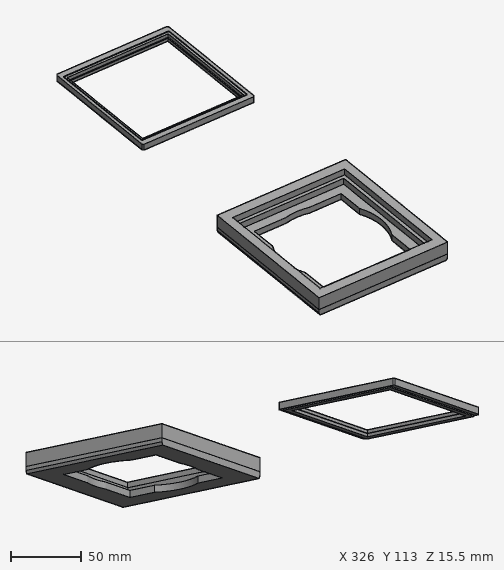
import cadquery as cq

overall_length = 326.0
overlap = 0.3

frame_length = 122.5
frame_width = 113.0
frame_height = 15.5
layer_height = frame_height / 3
rim_opening_length = 105.0
rim_opening_width = 98.5
ledge_opening_length = 99.0
ledge_opening_width = 92.5
window_length = 83.0
window_width = 76.3
window_bulge_diameter = 85.7
base_chamfer_height = 2.3
base_chamfer_depth = 1.0

insert_length = 104.3
insert_width = 98.5
insert_body_height = layer_height
insert_corner_chamfer = 1.0
lip_length = 96.5
lip_width = 96.0
lip_height = 1.0
insert_opening_length = 94.2
insert_opening_width = 92.5
insert_opening_depth = 0.5
step_opening_length = 90.3
step_opening_width = 88.5
step_opening_depth = 3.5
insert_window_length = 88.3
insert_window_width = 86.7

frame_center_x = (overall_length - frame_length) / 2
insert_center_x = (insert_length - overall_length) / 2
base_top = layer_height
ledge_top = frame_height - layer_height


def block(center_x, length, width, bottom, top):
    """Rectangular block centred on the X axis at center_x."""
    return (
        cq.Workplane("XY", origin=(center_x, 0, bottom))
        .rect(length, width)
        .extrude(top - bottom)
    )


def frame_block(length, width, bottom, top):
    return block(frame_center_x, length, width, bottom, top)


def insert_block(length, width, bottom, top):
    return block(insert_center_x, length, width, bottom, top)


def make_rim():
    """Upper part of the frame, with an opening that narrows to a ledge."""
    rim = frame_block(frame_length, frame_width, base_top, frame_height)
    opening = frame_block(rim_opening_length, rim_opening_width, ledge_top, frame_height + overlap)
    ledge_opening = frame_block(ledge_opening_length, ledge_opening_width, base_top - overlap, ledge_top + overlap)
    return rim.cut(opening).cut(ledge_opening)


def make_base_plate():
    """Plate with its two long bottom edges chamfered."""
    half_width = frame_width / 2
    bottom_half_width = half_width - base_chamfer_depth
    return (
        cq.Workplane("YZ", origin=(frame_center_x - frame_length / 2, 0, 0))
        .polyline([
            (-bottom_half_width, 0),
            (bottom_half_width, 0),
            (half_width, base_chamfer_height),
            (half_width, base_top),
            (-half_width, base_top),
            (-half_width, base_chamfer_height),
        ])
        .close()
        .extrude(frame_length)
    )


def make_base():
    """Bottom plate of the frame, with a window that bulges out in arcs on its four sides."""
    window = frame_block(window_length, window_width, -overlap, base_top + overlap)
    bulge = (
        cq.Workplane("XY", origin=(frame_center_x, 0, -overlap))
        .circle(window_bulge_diameter / 2)
        .extrude(base_top + 2 * overlap)
    )
    return make_base_plate().cut(window).cut(bulge)


def make_insert():
    """Loose ring with a twice-stepped opening and a locating lip underneath."""
    body_bottom = frame_height - insert_body_height
    lip_bottom = body_bottom - lip_height
    body = insert_block(insert_length, insert_width, body_bottom, frame_height)
    body = body.edges("|Z").chamfer(insert_corner_chamfer)
    lip = insert_block(lip_length, lip_width, lip_bottom, body_bottom)
    cutter_top = frame_height + overlap
    opening_bottom = frame_height - insert_opening_depth
    opening = insert_block(insert_opening_length, insert_opening_width, opening_bottom, cutter_top)
    step_bottom = frame_height - step_opening_depth
    step = insert_block(step_opening_length, step_opening_width, step_bottom, cutter_top)
    window = insert_block(insert_window_length, insert_window_width, lip_bottom - overlap, cutter_top)
    return body.union(lip).cut(opening).cut(step).cut(window)


rim = make_rim()
base = make_base()
insert = make_insert()

result = cq.Compound.makeCompound([rim.val(), base.val(), insert.val()])